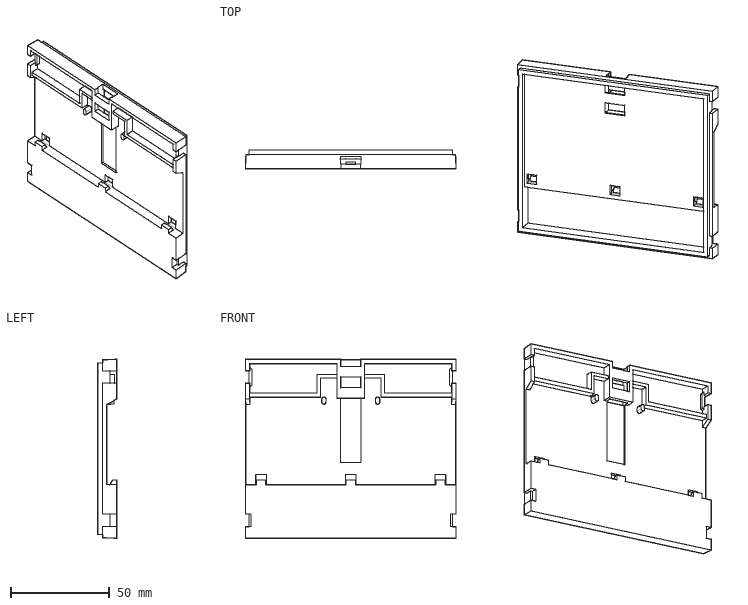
import cadquery as cq
import math


width = 106.73
height = 90.68
depth = 9.63
wall = 2.15
plate_front = 5.0
plate_back = 7.15
draft_angle = 2.0
half_width = width / 2
half_inside = half_width - wall
draft_slope = math.tan(math.radians(draft_angle))

lip_inset = 1.85
lip_half_width = half_width - lip_inset
lip_inner_inset = lip_inset + wall

channel_bottom = 27.3
channel_top_back = 67.7
channel_top_front = 70.5

shelf_front = 1.1
shelf_bottom = 71.35
shelf_top = 73.65
step_top = 83.0
step_outer_x = 17.1
step_thickness = 1.9

housing_half_width = 7.05
housing_bottom = 70.8
latch_front_wall = 2.4
opening_half_width = 5.0
window_bottom = 76.3
window_top = 81.7
notch_bottom = 87.1
slide_half_width = 5.3
slide_floor = 6.1
slide_bottom = 38.4

pin_x = 13.6
pin_front = 1.3
pin_width = 2.2
pin_bottom = 67.8
pin_top = 71.6

hook_spacing = 45.4
hook_width = 5.0
hook_top = 29.6
hook_base_depth = 3.4
hook_tip_depth = 2.2
hook_hole_width = 5.3
hook_hole_top = 32.2

notch_step_depth = 3.4
upper_notch_z = (78.5, 84.8)
lower_notch_z = (5.9, 12.3)
notch_half_inside = 50.5
pad_thickness = 1.3
pad_z = (76.8, 86.2)
pad_chamfer = 0.9


def box(x_range, y_range, z_range):
    """Axis-aligned block between the given limits."""
    x0, x1 = x_range
    y0, y1 = y_range
    z0, z1 = z_range
    return cq.Workplane("XY").box(x1 - x0, y1 - y0, z1 - z0, centered=False).translate((x0, y0, z0))


def centred_box(half_x, y_range, z_range):
    """Block that is symmetric about the X = 0 plane."""
    return box((-half_x, half_x), y_range, z_range)


def tapered_block(half_x, length, z_range):
    """Symmetric block starting at the front face and narrowing towards the back by the draft."""
    z0, z1 = z_range
    front = cq.Plane(origin=(0, 0, (z0 + z1) / 2), xDir=(1, 0, 0), normal=(0, 1, 0))
    return cq.Workplane(front).rect(2 * half_x, z1 - z0).extrude(length, taper=draft_angle)


def drafted_rib(points, front):
    """Raise an (X, Z) outline from the plate to the given front, narrowing by the draft."""
    outline = cq.Workplane("XZ", origin=(0, plate_front, 0)).polyline(points).close()
    return outline.extrude(plate_front - front, taper=draft_angle)


def side_prism(points, x_range):
    """Extrude a (Y, Z) outline along X."""
    x0, x1 = x_range
    return cq.Workplane("YZ", origin=(x0, 0, 0)).polyline(points).close().extrude(x1 - x0)


def both_sides(shape):
    """A shape together with its mirror image about X = 0."""
    return shape.union(shape.mirror("YZ"))


def make_body():
    """Drafted block with the rail channel, upper pocket, rear lip and lower hollow."""
    body = tapered_block(half_width, plate_back, (0, height))

    channel = [
        (0, channel_bottom - plate_front * draft_slope),
        (plate_front, channel_bottom),
        (plate_front, channel_top_back),
        (0, channel_top_front),
    ]
    body = body.cut(side_prism(channel, (-half_width, half_width)))
    pocket_bottom = channel_bottom + wall
    pocket_top = height - wall
    body = body.cut(tapered_block(half_inside, plate_front, (pocket_bottom, pocket_top)))

    lip = centred_box(lip_half_width, (plate_back, depth), (lip_inset, height - lip_inset))
    lip_opening = centred_box(
        half_width - lip_inner_inset, (plate_back, depth), (lip_inner_inset, height - lip_inner_inset)
    )
    hollow = centred_box(
        half_width - lip_inner_inset, (wall, plate_back), (lip_inner_inset, channel_bottom - wall)
    )
    return body.union(lip.cut(lip_opening)).cut(hollow)


def make_shelves():
    """Shelf running in from each side wall, stepping up to meet the latch housing."""
    step_inner_x = step_outer_x - step_thickness
    outer_end = half_inside + wall / 2
    inner_end = (housing_half_width + slide_half_width) / 2
    outline = [
        (outer_end, shelf_bottom),
        (outer_end, shelf_top),
        (step_outer_x, shelf_top),
        (step_outer_x, step_top),
        (inner_end, step_top),
        (inner_end, step_top - step_thickness),
        (step_inner_x, step_top - step_thickness),
        (step_inner_x, shelf_bottom),
    ]
    return both_sides(drafted_rib(outline, shelf_front))


def make_pins():
    """Round-ended stop pins standing on the plate."""
    pin = (
        cq.Workplane("XZ", origin=(pin_x, plate_front, (pin_bottom + pin_top) / 2))
        .slot2D(pin_top - pin_bottom, pin_width, angle=90)
        .extrude(plate_front - pin_front, taper=draft_angle)
    )
    return both_sides(pin)


def add_latch_housing(body):
    """Housing with a slide groove behind its front wall, a top notch and a window."""
    roof = height - wall / 2
    outline = [
        (-housing_half_width, housing_bottom),
        (housing_half_width, housing_bottom),
        (housing_half_width, roof),
        (-housing_half_width, roof),
    ]
    body = body.union(drafted_rib(outline, 0))
    body = body.cut(centred_box(slide_half_width, (latch_front_wall, plate_front), (housing_bottom, height)))
    body = body.cut(centred_box(slide_half_width, (plate_front, slide_floor), (slide_bottom, height)))

    front_wall = (0, latch_front_wall)
    body = body.cut(centred_box(opening_half_width, front_wall, (notch_bottom, height)))
    body = body.cut(centred_box(opening_half_width, front_wall, (window_bottom, window_top)))

    for z_range in ((housing_bottom, window_bottom), (window_top, notch_bottom)):
        body = body.cut(centred_box(slide_half_width, (slide_floor, plate_back), z_range))
    return body


def add_rail_hooks(body):
    """Three hooks on the channel edge, each with a hole through the plate behind it."""
    root = channel_bottom - wall / 2
    profile = [
        (0, root),
        (hook_base_depth, root),
        (hook_base_depth, channel_bottom),
        (hook_tip_depth, hook_top),
        (0, hook_top),
    ]
    hook = side_prism(profile, (-hook_width / 2, hook_width / 2))
    hole = centred_box(hook_hole_width / 2, (plate_front, plate_back), (channel_bottom, hook_hole_top))
    for x in (-hook_spacing, 0, hook_spacing):
        body = body.union(hook.translate((x, 0, 0))).cut(hole.translate((x, 0, 0)))
    return body


def cut_side_notches(body):
    """Two stepped notches in each side edge, the upper one backed by a pad."""
    front_part = (0, notch_step_depth)
    rear_part = (notch_step_depth, plate_back)
    for z_range in (upper_notch_z, lower_notch_z):
        body = body.cut(both_sides(box((notch_half_inside, half_width), front_part, z_range)))
        body = body.cut(both_sides(box((lip_half_width, half_width), rear_part, z_range)))

    pad = box((half_inside - pad_thickness, half_inside), (notch_step_depth, plate_front), pad_z)
    pad = pad.edges("|Y and <X").chamfer(pad_chamfer)
    return body.union(both_sides(pad))


result = make_body().union(make_shelves()).union(make_pins())
result = add_latch_housing(result)
result = add_rail_hooks(result)
result = cut_side_notches(result)